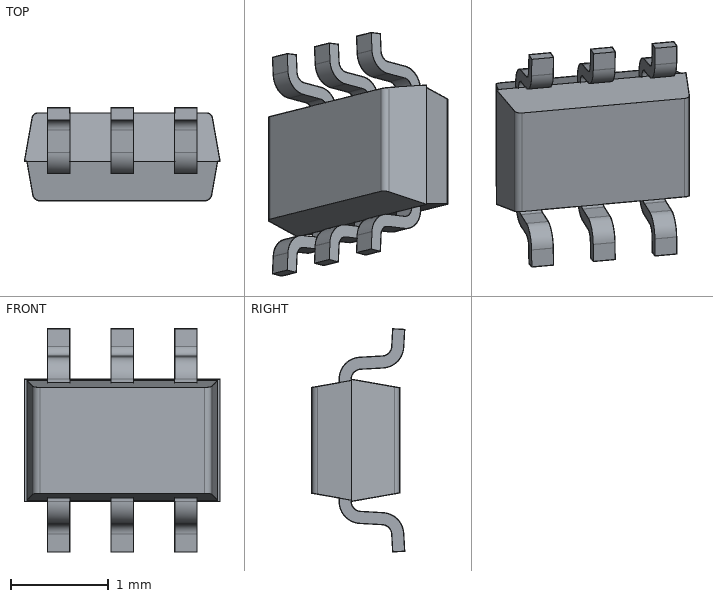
import cadquery as cq
import math


standoff = 0.05
back_depth = 0.495
front_depth = 0.405
body_length = 2.0
body_height = 1.25
front_inset_x = 0.025
front_inset_z = 0.013
draft_angle = 10.0
back_edge_radius = 0.065
front_edge_radius = 0.075
parting_y = -(standoff + back_depth)

leads_per_row = 3
lead_pitch = 0.65
lead_width = 0.23
lead_thickness = 0.125
bend_inner_radius = 0.1
lead_tilt = 3.2
middle_length = 0.23
foot_length = 0.184
embed_depth = 0.1


def make_half(length, height, depth, end_radius, side):
    """Drafted half of the housing; side is +1 toward the front, -1 toward the back."""
    half = (
        cq.Workplane("XZ", origin=(0, parting_y, 0))
        .rect(length, height)
        .extrude(side * depth, taper=draft_angle)
    )
    end_face = "<Y" if side > 0 else ">Y"
    return half.faces(end_face).edges("|Z").fillet(end_radius)


def make_upper_lead():
    """Lead of the +Z row, centred on X = 0: a flat strip swept along its centreline."""
    bend_radius = bend_inner_radius + lead_thickness / 2
    tilt = math.radians(lead_tilt)
    root_y = parting_y - lead_thickness / 2
    root_z = body_height / 2 - embed_depth

    def bend_point(center, angle):
        return (center[0] + bend_radius * math.cos(angle), center[1] + bend_radius * math.sin(angle))

    shoulder_center = (root_y + bend_radius, body_height / 2)
    shoulder_end_angle = math.pi / 2 + tilt
    shoulder_start = bend_point(shoulder_center, math.pi)
    shoulder_middle = bend_point(shoulder_center, (math.pi + shoulder_end_angle) / 2)
    shoulder_end = bend_point(shoulder_center, shoulder_end_angle)

    ankle_start_angle = -math.pi / 2 + tilt
    ankle_end_angle = -tilt
    ankle_start = (
        shoulder_end[0] + middle_length * math.cos(tilt),
        shoulder_end[1] + middle_length * math.sin(tilt),
    )
    ankle_center = (
        ankle_start[0] - bend_radius * math.cos(ankle_start_angle),
        ankle_start[1] - bend_radius * math.sin(ankle_start_angle),
    )
    ankle_middle = bend_point(ankle_center, (ankle_start_angle + ankle_end_angle) / 2)
    ankle_end = bend_point(ankle_center, ankle_end_angle)

    tip = (ankle_end[0] + foot_length * math.sin(tilt), ankle_end[1] + foot_length * math.cos(tilt))

    centreline = (
        cq.Workplane("YZ")
        .moveTo(root_y, root_z)
        .lineTo(*shoulder_start)
        .threePointArc(shoulder_middle, shoulder_end)
        .lineTo(*ankle_start)
        .threePointArc(ankle_middle, ankle_end)
        .lineTo(*tip)
    )
    return (
        cq.Workplane("XY", origin=(0, root_y, root_z))
        .rect(lead_width, lead_thickness)
        .sweep(centreline)
    )


upper_lead = make_upper_lead()
lower_lead = upper_lead.mirror("XY")
leads = []
for position in range(leads_per_row):
    lead_x = (position - (leads_per_row - 1) / 2) * lead_pitch
    for lead in (upper_lead, lower_lead):
        leads.append(lead.translate((lead_x, 0, 0)))

back_half = make_half(body_length, body_height, back_depth, back_edge_radius, -1)
front_length = body_length - 2 * front_inset_x
front_height = body_height - 2 * front_inset_z
front_half = make_half(front_length, front_height, front_depth, front_edge_radius, 1)
housing = back_half.union(front_half)
for lead in leads:
    housing = housing.cut(lead)

result = cq.Compound.makeCompound([housing.solids().val(), *[lead.val() for lead in leads]])